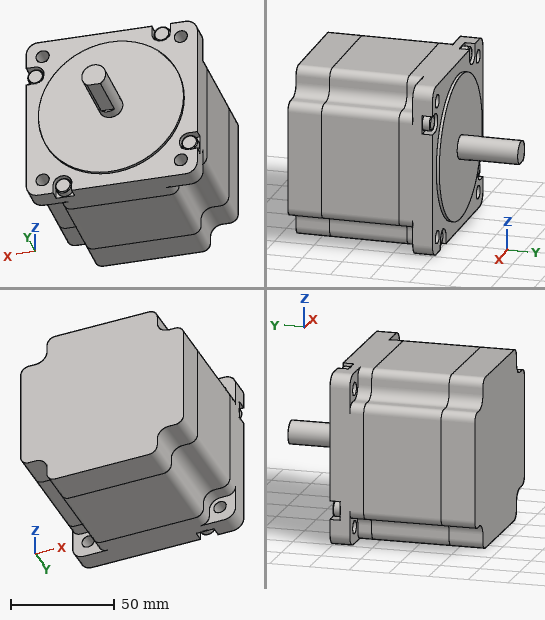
import cadquery as cq

frame_size = 86.0
half_frame = frame_size / 2
flange_corner_radius = 6.0
flange_thickness = 10.0
housing_length = 17.0
stator_length = 39.0
rear_cover_length = 17.0

relief_size = 13.9
relief_inner_radius = 6.0
relief_outer_radius = 4.4

hole_spacing = 69.5
hole_diameter = 6.5

pilot_diameter = 73.0
pilot_height = 1.5
shaft_diameter = 12.0
shaft_length = 32.0
shaft_flat_length = 25.0
shaft_flat_depth = 1.0

screw_count = 4
screw_offset = 24.8
head_diameter = 8.0
head_height = 4.0
head_chamfer = 0.5
shank_diameter = 5.0
shank_length = 10.0
pocket_diameter = 9.3
pocket_depth = 5.2
screw_edge_distance = 4.3
screw_radial = half_frame - screw_edge_distance


def plane_at(y):
    """Plane facing +Y with local x along -X and local y along +Z."""
    return cq.Workplane(cq.Plane(origin=(0, y, 0), xDir=(-1, 0, 0), normal=(0, 1, 0)))


def relieved_section(y_front, length):
    """Frame section with rounded reliefs at its four corners, running back from y_front."""
    section = plane_at(y_front).rect(frame_size, frame_size).extrude(-length)
    relief_spacing = frame_size - relief_size
    reliefs = (
        plane_at(y_front)
        .rect(relief_spacing, relief_spacing, forConstruction=True)
        .vertices()
        .rect(relief_size, relief_size)
        .extrude(-length)
    )
    section = section.cut(reliefs)
    inner_reach = relief_spacing / 2
    inner_edges = cq.selectors.BoxSelector(
        (-inner_reach, y_front - length, -inner_reach),
        (inner_reach, y_front, inner_reach),
    )
    section = section.edges("|Y").edges(inner_edges).fillet(relief_inner_radius)
    return section.edges("|Y").edges("<X or >X or <Z or >Z").fillet(relief_outer_radius)


def around_shaft(body, index):
    """Copy of a body turned about the shaft axis to one of the screw places."""
    return body.rotate((0, 0, 0), (0, 1, 0), index * 360 / screw_count)


def screw_plane(y):
    """Plane facing +Y with its origin on the axis of the first screw."""
    return plane_at(y).center(screw_offset, screw_radial)


def screw_pocket():
    """Round-backed head pocket open to the frame side, with the shank hole below it."""
    pocket = screw_plane(0).circle(pocket_diameter / 2).extrude(-pocket_depth)
    mouth = (
        screw_plane(0)
        .center(0, pocket_diameter / 2)
        .rect(pocket_diameter, pocket_diameter)
        .extrude(-pocket_depth)
    )
    shank_hole = screw_plane(-pocket_depth).circle(shank_diameter / 2).extrude(-shank_length)
    return pocket.union(mouth).union(shank_hole)


def make_screw():
    """Cap screw whose head sits on the pocket floor."""
    seat = screw_plane(-pocket_depth)
    head = seat.circle(head_diameter / 2).extrude(head_height).faces(">Y").chamfer(head_chamfer)
    return head.union(seat.circle(shank_diameter / 2).extrude(-shank_length))


def make_shaft():
    """Output shaft with a flat on its -Z side."""
    shaft = plane_at(0).circle(shaft_diameter / 2).extrude(shaft_length)
    flat_cut = cq.Workplane("XY").box(
        shaft_diameter, shaft_flat_length, shaft_flat_depth, centered=(True, False, False)
    )
    return shaft.cut(
        flat_cut.translate((0, shaft_length - shaft_flat_length, -shaft_diameter / 2))
    )


def make_housing():
    """Front housing: flange, relieved rear part, pilot and shaft in one solid."""
    flange = (
        plane_at(0)
        .rect(frame_size, frame_size)
        .extrude(-flange_thickness)
        .edges("|Y")
        .fillet(flange_corner_radius)
    )
    holes = (
        plane_at(0)
        .rect(hole_spacing, hole_spacing, forConstruction=True)
        .vertices()
        .circle(hole_diameter / 2)
        .extrude(-flange_thickness)
    )
    housing = flange.cut(holes)
    housing = housing.union(relieved_section(-flange_thickness, housing_length - flange_thickness))
    housing = housing.union(plane_at(0).circle(pilot_diameter / 2).extrude(pilot_height))
    housing = housing.union(make_shaft())
    for index in range(screw_count):
        housing = housing.cut(around_shaft(screw_pocket(), index))
    return housing


housing = make_housing()
stator = relieved_section(-housing_length, stator_length)
rear_cover = relieved_section(-housing_length - stator_length, rear_cover_length)
screws = [around_shaft(make_screw(), index) for index in range(screw_count)]

result = cq.Compound.makeCompound(
    [housing.val(), stator.val(), rear_cover.val(), *[screw.val() for screw in screws]]
)